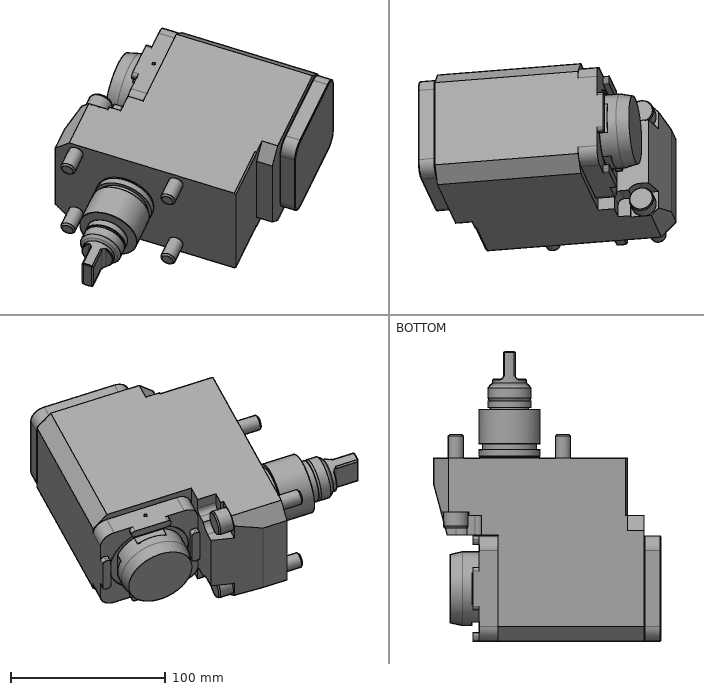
import cadquery as cq


height = 78.0
half_height = height / 2
base_left = -49.2
base_right = 76.5
base_top = 49.8
body_left = -7.3
body_right = 87.3
body_bottom = 37.0
body_back = 118.7
corner_chamfer = 9.8
base_edge_chamfer = 1.1
slope_start_y = 16.7
slope_top_x = -40.4

cover_size = 68.4
cover_radius = 9.5
output_y = body_back - cover_size / 2
left_cover_face = -19.7
right_cover_face = 98.2
right_cover_chamfer = 0.5
oil_hole_diameter = 2.0
oil_hole_depth = 3.8
oil_hole_x = (left_cover_face + body_left) / 2
recess_diameter = 55.2
recess_depth = 1.0

tab_length = 27.5
tab_width = 5.6
tab_height = 4.0
tab_radius = 2.3

nut_diameter = 48.0
nut_front_diameter = 44.3
nut_front = -38.5
nut_taper_start = -30.5
flat_distance = 21.8
flat_end = -24.5

screw_x = 34.7
screw_z = 31.0
screw_diameter = 10.0
screw_end = -15.4
screw_chamfer = 1.1
head_diameter = 16.0
head_seat = 35.0
head_top = 45.0
head_chamfer_width = 0.5
head_chamfer_height = 1.1
head_slot_radius = 8.6
pocket_right = -18.0
pocket_floor_z = 26.5
pocket_radius = 4.1

pilot_diameter = 39.8
pilot_rim_chamfer = 0.5
pilot_rim_chamfer_start = -1.0
pilot_edge_chamfer = 0.2
pilot_end = -31.7
pilot_groove_diameter = 35.1
pilot_groove_start = -5.6
pilot_groove_end = -9.2
neck_diameter = 25.0
neck_end = -32.9
collar_diameter = 28.0
collar_groove_diameter = 26.3
collar_groove_start = -37.2
collar_groove_end = -38.9
collar_taper_start = -45.5
collar_end = -47.5
shoulder_diameter = 22.0
shoulder_start = -48.6
shoulder_end = -51.3
shoulder_chamfer = 0.5
tang_end = body_back - 187.8
tang_thickness = 7.9
tang_root_radius = 2.0
tang_edge_chamfer_x = 1.1
tang_edge_chamfer_z = 1.9
tang_tip_chamfer = 0.5


def box(x_range, y_range, z_range):
    """Box spanning the given (low, high) ranges."""
    sizes = [high - low for low, high in (x_range, y_range, z_range)]
    corner = (x_range[0], y_range[0], z_range[0])
    return cq.Workplane("XY").box(*sizes, centered=False).translate(corner)


def revolve_about_y(profile):
    """Solid of revolution about the Y axis from (radius, y) points."""
    outline = [(0, profile[0][1])] + profile + [(0, profile[-1][1])]
    return cq.Workplane("XY").polyline(outline).close().revolve(360, (0, 0), (0, 1))


def make_base():
    outline = [
        (base_left, 0),
        (base_right, 0),
        (base_right, base_top),
        (slope_top_x, base_top),
        (base_left, slope_start_y),
    ]
    base = cq.Workplane("XY").polyline(outline).close().extrude(half_height, both=True)
    section = (
        cq.Workplane("XZ")
        .polyline([
            (base_left, half_height - corner_chamfer),
            (base_left + corner_chamfer, half_height),
            (base_right - base_edge_chamfer, half_height),
            (base_right, half_height - base_edge_chamfer),
            (base_right, base_edge_chamfer - half_height),
            (base_right - base_edge_chamfer, -half_height),
            (base_left + corner_chamfer, -half_height),
            (base_left, corner_chamfer - half_height),
        ])
        .close()
        .extrude(-base_top)
    )
    return base.intersect(section)


def make_body():
    beam = box((body_left, body_right), (body_bottom, body_back), (-half_height, half_height))
    beam = beam.edges("|X").chamfer(corner_chamfer)
    foot = box((body_left, base_right), (body_bottom, base_top), (-half_height, half_height))
    return beam.union(foot)


def make_cover(x_low, x_high):
    low = output_y - cover_size / 2
    half = cover_size / 2
    cover = box((x_low, x_high), (low, low + cover_size), (-half, half))
    return cover.edges("|X").fillet(cover_radius)


def make_left_cover():
    cover = make_cover(left_cover_face, body_left)
    recess = (
        cq.Workplane("YZ", origin=(left_cover_face, output_y, 0))
        .circle(recess_diameter / 2)
        .extrude(recess_depth)
    )
    oil_hole = (
        cq.Workplane("XY", origin=(oil_hole_x, output_y, cover_size / 2))
        .circle(oil_hole_diameter / 2)
        .extrude(-oil_hole_depth)
    )
    return cover.cut(recess).cut(oil_hole)


def make_tabs():
    tab = (
        cq.Workplane("YZ", origin=(left_cover_face, output_y, (cover_size - tab_width) / 2))
        .rect(tab_length, tab_width)
        .extrude(-tab_height)
        .edges("|X")
        .fillet(tab_radius)
    )
    tabs = cq.Workplane("XY")
    for quarter in range(4):
        tabs = tabs.union(tab.rotate((0, output_y, 0), (1, output_y, 0), 90 * quarter))
    return tabs


def make_nut():
    nut_back = left_cover_face + recess_depth
    nut = (
        cq.Workplane("XY")
        .polyline([
            (nut_front, 0),
            (nut_front, nut_front_diameter / 2),
            (nut_taper_start, nut_diameter / 2),
            (nut_back, nut_diameter / 2),
            (nut_back, 0),
        ])
        .close()
        .revolve(360, (0, 0), (1, 0))
    )
    radius = nut_diameter / 2
    side_cut = box((flat_end, nut_back), (flat_distance, radius), (-radius, radius))
    for angle in (-90, 0, 90):
        nut = nut.cut(side_cut.rotate((0, 0, 0), (1, 0, 0), angle))
    return nut.translate((0, output_y, 0))


def make_head_pocket():
    """Open pocket around the upper left screw head."""
    seat = (
        cq.Workplane("XZ", origin=(-screw_x, head_seat, screw_z))
        .circle(head_slot_radius)
        .extrude(head_seat - base_top)
    )
    slot_floor = screw_z - head_slot_radius
    outward = box((base_left, -screw_x), (head_seat, base_top), (slot_floor, half_height))
    above = box(
        (-screw_x, head_slot_radius - screw_x), (head_seat, base_top), (screw_z, half_height)
    )
    inward = box((-screw_x, pocket_right), (body_bottom, base_top), (pocket_floor_z, half_height))
    inward = inward.edges("|Y and >X and <Z").fillet(pocket_radius)
    return seat.union(outward).union(above).union(inward)


def make_screw():
    radius = screw_diameter / 2
    return revolve_about_y([
        (radius - screw_chamfer, screw_end),
        (radius, screw_end + screw_chamfer),
        (radius, head_seat),
    ])


def make_head():
    radius = head_diameter / 2
    return revolve_about_y([
        (radius, head_seat),
        (radius, head_top - head_chamfer_height),
        (radius - head_chamfer_width, head_top),
    ])


def make_spindle():
    pilot = pilot_diameter / 2
    pilot_groove = pilot_groove_diameter / 2
    neck = neck_diameter / 2
    collar = collar_diameter / 2
    collar_groove = collar_groove_diameter / 2
    shoulder = shoulder_diameter / 2
    return revolve_about_y([
        (pilot - pilot_rim_chamfer, 0),
        (pilot - pilot_rim_chamfer, pilot_rim_chamfer_start),
        (pilot, pilot_rim_chamfer_start - pilot_rim_chamfer),
        (pilot, pilot_groove_start),
        (pilot_groove, pilot_groove_start),
        (pilot_groove, pilot_groove_end),
        (pilot - pilot_edge_chamfer, pilot_groove_end),
        (pilot, pilot_groove_end - pilot_edge_chamfer),
        (pilot, pilot_end + pilot_edge_chamfer),
        (pilot - pilot_edge_chamfer, pilot_end),
        (neck, pilot_end),
        (neck, neck_end),
        (collar, neck_end),
        (collar, collar_groove_start),
        (collar_groove, collar_groove_start),
        (collar, collar_groove_end),
        (collar, collar_taper_start),
        (neck, collar_end),
        (shoulder, shoulder_start),
        (shoulder, shoulder_end + shoulder_chamfer),
        (shoulder - shoulder_chamfer, shoulder_end),
    ])


def make_tang():
    half_thickness = tang_thickness / 2
    half_width = shoulder_diameter / 2
    root_x = half_thickness + tang_root_radius
    root_y = shoulder_end - tang_root_radius
    blade = (
        cq.Workplane("XY")
        .moveTo(root_x, shoulder_start)
        .lineTo(root_x, shoulder_end)
        .radiusArc((half_thickness, root_y), -tang_root_radius)
        .lineTo(half_thickness, tang_end + tang_tip_chamfer)
        .lineTo(half_thickness - tang_edge_chamfer_x, tang_end)
        .lineTo(tang_edge_chamfer_x - half_thickness, tang_end)
        .lineTo(-half_thickness, tang_end + tang_tip_chamfer)
        .lineTo(-half_thickness, root_y)
        .radiusArc((-root_x, shoulder_end), -tang_root_radius)
        .lineTo(-root_x, shoulder_start)
        .close()
        .extrude(half_width, both=True)
    )
    envelope = (
        cq.Workplane("XZ", origin=(0, shoulder_start, 0))
        .circle(half_width)
        .extrude(shoulder_start - tang_end)
        .faces("<Y")
        .chamfer(tang_tip_chamfer)
    )
    corner = (
        cq.Workplane("XZ", origin=(0, root_y, 0))
        .polyline([
            (half_thickness - tang_edge_chamfer_x, half_width),
            (half_thickness, half_width - tang_edge_chamfer_z),
            (half_thickness, half_width),
        ])
        .close()
        .extrude(root_y - tang_end)
    )
    corners = corner.union(corner.mirror("YZ"))
    corners = corners.union(corners.mirror("XY"))
    return blade.intersect(envelope).cut(corners)


head_pocket = make_head_pocket()
right_cover = make_cover(body_right, right_cover_face).faces("<X or >X").chamfer(right_cover_chamfer)

result = make_base().cut(head_pocket).cut(head_pocket.mirror("XY"))
for feature in (make_body(), make_left_cover(), make_tabs(), make_nut(), right_cover):
    result = result.union(feature)

for z in (-screw_z, screw_z):
    result = result.union(make_head().translate((-screw_x, 0, z)))
    for x in (-screw_x, screw_x):
        result = result.union(make_screw().translate((x, 0, z)))

result = result.union(make_spindle()).union(make_tang())